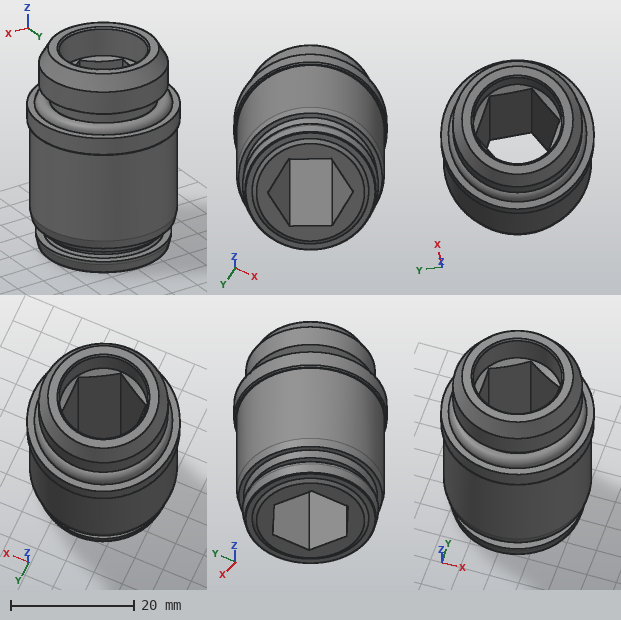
import cadquery as cq
import math

total_height = 36.0
foot_ring_z = 0.45
foot_edge_z = 0.6
foot_straight_z = 2.25
foot_top_z = 2.7
groove_bottom_z = 3.2
groove_top_z = 4.15
shoulder_z = 5.45
body_bottom_z = 7.02
flange_bottom_z = 22.75
flange_chamfer = 0.25
flange_top_z = 25.95
neck_top_z = 28.48
head_bottom_z = 29.45
head_top_z = 33.4

bottom_diameter = 17.5
foot_recess_diameter = 18.9
foot_ring_diameter = 20.95
foot_edge_diameter = 21.25
foot_diameter = 22.0
groove_root_diameter = 19.5
groove_diameter = 18.8
lower_taper_small = 20.75
lower_taper_large = 21.67
body_taper_small = 23.25
body_diameter = 23.95
flange_diameter = 24.8
neck_diameter = 17.5
head_diameter = 20.95
rim_diameter = 18.0

ring_outer_diameter = 22.4
ring_section_radius = 1.35

bore_diameter = 14.4
bore_chamfer = 0.3
bore_depth = 5.15
cone_angle = 140.0
hex_across_flats = 12.0


def turned_body():
    """Revolve the outside, listed as (diameter, height) from bottom to top."""
    steps = [
        (bottom_diameter, 0),
        (foot_recess_diameter, foot_ring_z),
        (foot_ring_diameter, foot_ring_z),
        (foot_edge_diameter, foot_edge_z),
        (foot_diameter, foot_straight_z),
        (foot_diameter, foot_top_z),
        (groove_root_diameter, foot_top_z),
        (groove_diameter, groove_bottom_z),
        (groove_diameter, groove_top_z),
        (lower_taper_small, groove_top_z),
        (lower_taper_large, shoulder_z),
        (body_taper_small, shoulder_z),
        (body_diameter, body_bottom_z),
        (body_diameter, flange_bottom_z),
        (flange_diameter - 2 * flange_chamfer, flange_bottom_z),
        (flange_diameter, flange_bottom_z + flange_chamfer),
        (flange_diameter, flange_top_z),
        (neck_diameter, flange_top_z),
        (neck_diameter, neck_top_z),
        (head_diameter, head_bottom_z),
        (head_diameter, head_top_z),
        (rim_diameter, total_height),
    ]
    outline = [(diameter / 2, z) for diameter, z in steps]
    profile = [(0, 0)] + outline + [(0, total_height)]
    return cq.Workplane("XZ").polyline(profile).close().revolve(360, (0, 0), (0, 1))


def sealing_ring():
    """Torus centred at the flange top, half sunk into the flange."""
    center_radius = ring_outer_diameter / 2 - ring_section_radius
    return (
        cq.Workplane("XZ")
        .center(center_radius, flange_top_z)
        .circle(ring_section_radius)
        .revolve(360, (-center_radius, 0), (-center_radius, 1))
    )


def bore():
    """Round bore with a chamfered mouth and a conical end."""
    radius = bore_diameter / 2
    bore_end_z = total_height - bore_depth
    cone_tip_z = bore_end_z - radius / math.tan(math.radians(cone_angle / 2))
    profile = [
        (0, cone_tip_z),
        (radius, bore_end_z),
        (radius, total_height - bore_chamfer),
        (radius + bore_chamfer, total_height),
        (0, total_height),
    ]
    return cq.Workplane("XZ").polyline(profile).close().revolve(360, (0, 0), (0, 1))


def hex_socket():
    """Through hexagon with its corners on the Y axis."""
    across_corners = hex_across_flats / math.cos(math.pi / 6)
    return (
        cq.Workplane("XY")
        .polygon(6, across_corners)
        .extrude(total_height)
        .rotate((0, 0, 0), (0, 0, 1), 90)
    )


result = turned_body().union(sealing_ring()).cut(bore()).cut(hex_socket())